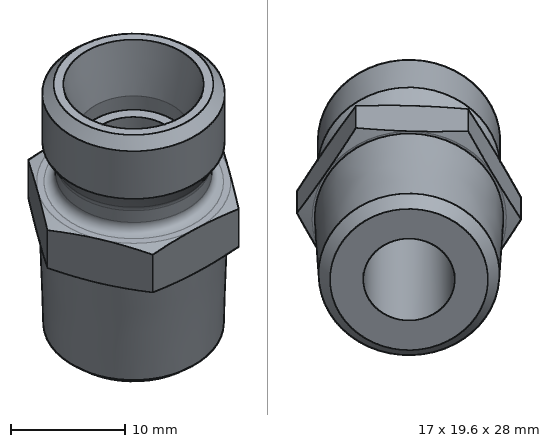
import cadquery as cq
import math

total_height = 28.0
hex_bottom = 12.0
hex_top = 17.0
end_chamfer = 1.0

across_flats = 17.0
across_corners = across_flats / math.cos(math.radians(30))
hex_chamfer_angle = 15.0

upper_diameter = 16.0
neck_diameter = 13.7
undercut_angle = 30.0
upper_thread_bottom = 21.6
neck_fillet = 1.0

taper_top_diameter = 16.52
taper_per_length = 1 / 16

bore_diameter = 8.0
seat_diameter = 10.0
seat_mouth_diameter = 12.3
seat_half_angle = 12.0
seat_depth = 7.0


def make_turned_body():
    """Revolve the tapered end, the neck and the upper connection."""
    lean = math.radians(undercut_angle)
    upper_radius = upper_diameter / 2
    neck_radius = neck_diameter / 2
    taper_top_radius = taper_top_diameter / 2
    taper_length = hex_bottom - end_chamfer
    taper_bottom_radius = taper_top_radius - taper_length * taper_per_length / 2
    neck_top = upper_thread_bottom - (upper_radius - neck_radius) / math.tan(lean)
    tangent_length = neck_fillet * math.tan(lean / 2)
    undercut_start = (
        neck_radius + tangent_length * math.sin(lean),
        neck_top + tangent_length * math.cos(lean),
    )
    return (
        cq.Workplane("XZ")
        .lineTo(taper_bottom_radius - end_chamfer, 0)
        .lineTo(taper_bottom_radius, end_chamfer)
        .lineTo(taper_top_radius, hex_bottom)
        .lineTo(taper_top_radius, hex_top)
        .lineTo(neck_radius + neck_fillet, hex_top)
        .radiusArc((neck_radius, hex_top + neck_fillet), neck_fillet)
        .lineTo(neck_radius, neck_top - tangent_length)
        .radiusArc(undercut_start, neck_fillet)
        .lineTo(upper_radius, upper_thread_bottom)
        .lineTo(upper_radius, total_height - end_chamfer)
        .lineTo(upper_radius - end_chamfer, total_height)
        .lineTo(0, total_height)
        .close()
        .revolve(360, (0, 0), (0, 1))
    )


def make_hexagon():
    """Hexagon with corners on Y, its corners trimmed by a cone at both ends."""
    prism = (
        cq.Workplane("XY", origin=(0, 0, hex_bottom))
        .polygon(6, across_corners)
        .extrude(hex_top - hex_bottom)
        .rotate((0, 0, 0), (0, 0, 1), 30)
    )
    flat_radius = across_flats / 2
    corner_radius = across_corners / 2
    corner_drop = (corner_radius - flat_radius) * math.tan(math.radians(hex_chamfer_angle))
    envelope = (
        cq.Workplane("XZ")
        .moveTo(0, hex_bottom)
        .lineTo(flat_radius, hex_bottom)
        .lineTo(corner_radius, hex_bottom + corner_drop)
        .lineTo(corner_radius, hex_top - corner_drop)
        .lineTo(flat_radius, hex_top)
        .lineTo(0, hex_top)
        .close()
        .revolve(360, (0, 0), (0, 1))
    )
    return prism.intersect(envelope)


def make_bore():
    """Through bore with a stepped tube seat and conical mouth at the top."""
    cone_depth = (seat_mouth_diameter - seat_diameter) / 2 / math.tan(math.radians(seat_half_angle))
    return (
        cq.Workplane("XZ")
        .lineTo(bore_diameter / 2, 0)
        .lineTo(bore_diameter / 2, total_height - seat_depth)
        .lineTo(seat_diameter / 2, total_height - seat_depth)
        .lineTo(seat_diameter / 2, total_height - cone_depth)
        .lineTo(seat_mouth_diameter / 2, total_height)
        .lineTo(0, total_height)
        .close()
        .revolve(360, (0, 0), (0, 1))
    )


result = make_turned_body().union(make_hexagon()).cut(make_bore())